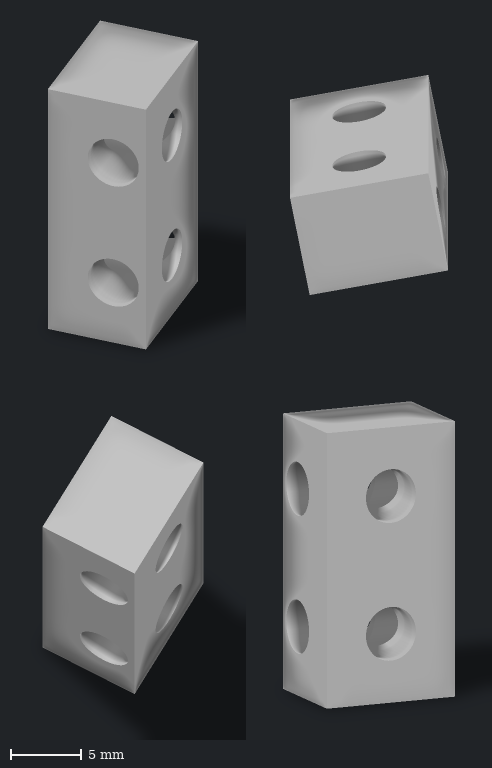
import cadquery as cq

height = 20.0
depth = height / 2
width = 7.5

hole_diameter = 3.9
hole_levels = (-height / 4, height / 4)
edge_distance = 2.5
hole_x = width / 2 - edge_distance


def through_holes_along_y():
    """Cylinders through the depth, offset towards the +X face."""
    return (
        cq.Workplane("XZ")
        .pushPoints([(hole_x, level) for level in hole_levels])
        .circle(hole_diameter / 2)
        .extrude(depth, both=True)
    )


def through_holes_along_x():
    """Cylinders through the width, centred in the depth."""
    return (
        cq.Workplane("YZ")
        .pushPoints([(0, level) for level in hole_levels])
        .circle(hole_diameter / 2)
        .extrude(width, both=True)
    )


block = cq.Workplane("XY").box(width, depth, height)
result = block.cut(through_holes_along_y()).cut(through_holes_along_x())